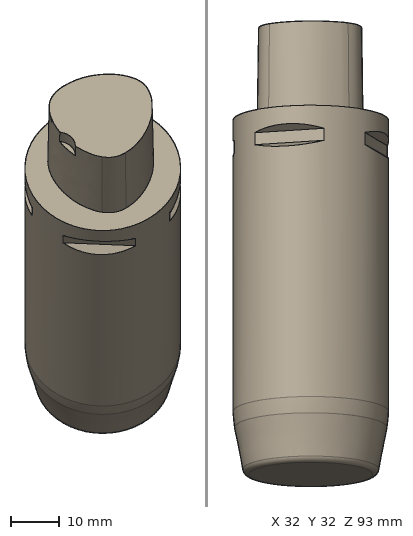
import cadquery as cq
import math

TOTAL_HEIGHT = 93.0
BODY_RADIUS = 32.0 / 2
SHANK_LENGTH = 18.9
SHOULDER_Z = TOTAL_HEIGHT - SHANK_LENGTH

BLEND_TOP_Z = 13.1
BLEND_HEIGHT = 3.35
NOSE_ANGLE = math.radians(11)
NOSE_FILLET = 1.3

SHANK_BASE_RADIUS = 10.9
SHANK_TOP_RADIUS = 10.6
LOBE_HEIGHT = 0.7
LOBE_HALF_ANGLE = 23.0
POINTS_PER_CURVE = 7

NOTCH_HEIGHT = 3.3
NOTCH_RADIUS = 3.6
NOTCH_BACK_Y = -8.8

GROOVE_Z = SHOULDER_Z - 6.0
GROOVE_FLOOR_DISTANCE = 14.1
GROOVE_FLOOR_HEIGHT = 2.5
GROOVE_SIDE_ANGLE = math.radians(30)
GROOVE_COUNT = 4


def make_body():
    """Revolve the body with its blended, tapered nose."""
    blend_radius = BLEND_HEIGHT / math.sin(NOSE_ANGLE)

    def blend_point(angle):
        return (
            BODY_RADIUS - blend_radius * (1 - math.cos(angle)),
            BLEND_TOP_Z - blend_radius * math.sin(angle),
        )

    blend_end = blend_point(NOSE_ANGLE)
    nose_radius = blend_end[0] - blend_end[1] * math.tan(NOSE_ANGLE)
    body = (
        cq.Workplane("XZ")
        .lineTo(nose_radius, 0)
        .lineTo(*blend_end)
        .threePointArc(blend_point(NOSE_ANGLE / 2), (BODY_RADIUS, BLEND_TOP_Z))
        .lineTo(BODY_RADIUS, SHOULDER_Z)
        .lineTo(0, SHOULDER_Z)
        .close()
        .revolve(360, (0, 0, 0), (0, 1, 0))
    )
    return body.faces("<Z").edges().fillet(NOSE_FILLET)


def lobe_point(mean_radius, angle, z):
    """Point of a constant-width trilobe whose outward normal is at the given angle from +Y."""
    reach = mean_radius + LOBE_HEIGHT * math.cos(3 * angle)
    reach_slope = -3 * LOBE_HEIGHT * math.sin(3 * angle)
    along = reach * math.cos(angle) - reach_slope * math.sin(angle)
    across = reach * math.sin(angle) + reach_slope * math.cos(angle)
    return cq.Vector(-across, along, z)


def lobe_tangent(angle):
    return cq.Vector(-math.cos(angle), -math.sin(angle), 0)


def lobe_wire(mean_radius, z):
    """Closed outline: three lobes alternating with three flanks."""
    edges = []
    for lobe in range(3):
        crest = 120 * lobe
        lobe_start = crest - LOBE_HALF_ANGLE
        lobe_end = crest + LOBE_HALF_ANGLE
        next_lobe_start = lobe_start + 120
        for start, end in ((lobe_start, lobe_end), (lobe_end, next_lobe_start)):
            step = (end - start) / (POINTS_PER_CURVE - 1)
            angles = [math.radians(start + step * i) for i in range(POINTS_PER_CURVE)]
            points = [lobe_point(mean_radius, angle, z) for angle in angles]
            tangents = [lobe_tangent(angles[0]), lobe_tangent(angles[-1])]
            edges.append(cq.Edge.makeSpline(points, tangents=tangents))
    return cq.Wire.assembleEdges(edges)


def make_shank():
    base = lobe_wire(SHANK_BASE_RADIUS, SHOULDER_Z)
    top = lobe_wire(SHANK_TOP_RADIUS, TOTAL_HEIGHT)
    return cq.Workplane(cq.Solid.makeLoft([base, top], True))


def make_notch():
    return (
        cq.Workplane("XY", origin=(0, NOTCH_BACK_Y - NOTCH_RADIUS, TOTAL_HEIGHT))
        .circle(NOTCH_RADIUS)
        .extrude(-NOTCH_HEIGHT)
    )


def make_groove(direction):
    """Straight cutter with a flat floor and flaring sides, facing the given direction in degrees."""
    outer_distance = BODY_RADIUS + 0.9
    half_floor = GROOVE_FLOOR_HEIGHT / 2
    half_mouth = half_floor + (outer_distance - GROOVE_FLOOR_DISTANCE) * math.tan(GROOVE_SIDE_ANGLE)
    return (
        cq.Workplane("XZ", origin=(0, 0, GROOVE_Z))
        .polyline([
            (GROOVE_FLOOR_DISTANCE, -half_floor),
            (outer_distance, -half_mouth),
            (outer_distance, half_mouth),
            (GROOVE_FLOOR_DISTANCE, half_floor),
        ])
        .close()
        .extrude(BODY_RADIUS, both=True)
        .rotate((0, 0, 0), (0, 0, 1), direction)
    )


result = make_body().union(make_shank()).cut(make_notch())
for index in range(GROOVE_COUNT):
    result = result.cut(make_groove(45 + index * 360 / GROOVE_COUNT))